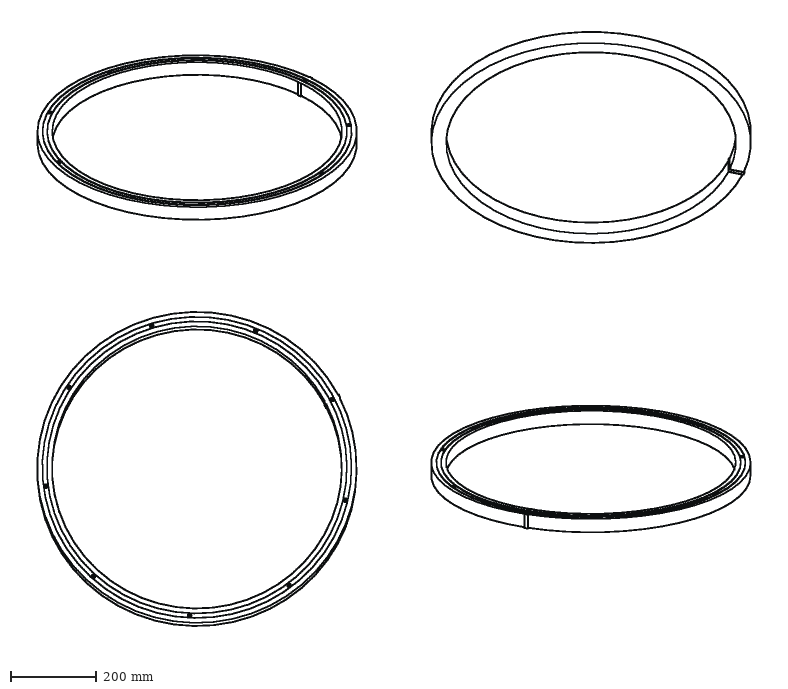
import cadquery as cq

outer_diameter = 750.0
inner_diameter = 680.0
ring_height = 34.0

channel_outer_diameter = 726.0
channel_inner_diameter = 704.0
channel_depth = 1.5

pin_count = 9
first_pin_angle = 90
pin_diameter = 4.5
pin_projection = 1.5
pin_base_diameter = 9.0
pin_base_height = 1.0

clip_width = 9.0
clip_thickness = 1.5

outer_radius = outer_diameter / 2
inner_radius = inner_diameter / 2
channel_floor = ring_height - channel_depth
pin_circle_radius = (channel_outer_diameter + channel_inner_diameter) / 4


def tube(outer_diameter, inner_diameter, bottom, height):
    """Tube around Z standing on the given level."""
    base = cq.Workplane("XY").workplane(offset=bottom)
    return base.circle(outer_diameter / 2).circle(inner_diameter / 2).extrude(height)


def channel_cylinders(diameter, height):
    """One cylinder per pin position, standing on the channel floor."""
    positions = (
        cq.Workplane("XY")
        .workplane(offset=channel_floor)
        .polarArray(pin_circle_radius, first_pin_angle, 360, pin_count)
    )
    return positions.circle(diameter / 2).extrude(height)


def clip():
    """Block across the ring section, hollowed by the ring's own section."""
    clip_length = outer_radius - inner_radius + 2 * clip_thickness
    block = (
        cq.Workplane("XY")
        .box(clip_width, clip_length, ring_height + clip_thickness, centered=(True, False, False))
        .translate((0, inner_radius - clip_thickness, -clip_thickness))
    )
    return block.cut(tube(outer_diameter, inner_diameter, 0, ring_height))


ring = tube(outer_diameter, inner_diameter, 0, ring_height)
ring = ring.union(clip())

channel = tube(channel_outer_diameter, channel_inner_diameter, channel_floor, channel_depth)
ring = ring.cut(channel)

pin_bases = channel_cylinders(pin_base_diameter, pin_base_height)
pins = channel_cylinders(pin_diameter, channel_depth + pin_projection)
result = ring.union(pin_bases).union(pins)